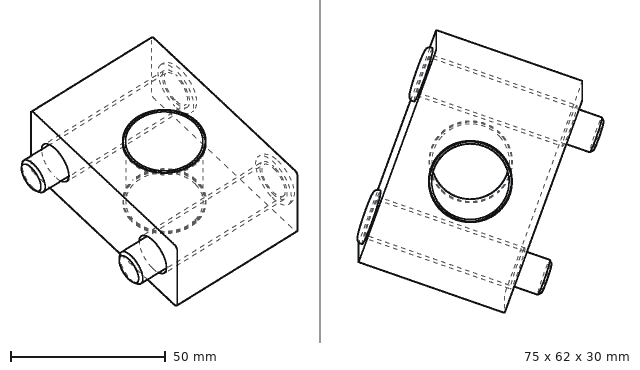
import cadquery as cq

block_width = 75.0
block_depth = 50.0
block_height = 30.0
edge_radius = 1.5

bore_diameter = 25.0
sleeve_diameter = 26.5
groove_width = 0.2
groove_depth = 0.75

bolt_spacing = 50.0
shank_diameter = 12.0
shank_projection = 10.0
tip_chamfer = 1.0
head_diameter = 18.3
head_height = 2.0
head_radius = 1.5
clearance_diameter = 14.0

back_face = block_depth / 2
bolt_positions = (-bolt_spacing / 2, bolt_spacing / 2)


def rod_along_y(x, start_y, length, diameter):
    """Cylinder at height zero that runs from start_y towards +Y."""
    start = cq.Vector(x, start_y, 0)
    return cq.Workplane(cq.Solid.makeCylinder(diameter / 2, length, start, cq.Vector(0, 1, 0)))


def make_block():
    block = cq.Workplane("XY").box(block_width, block_depth, block_height)
    block = block.edges("|Y").fillet(edge_radius)
    block = block.faces(">Z").workplane().hole(bore_diameter)
    groove_radius = sleeve_diameter / 2 + groove_width
    for end_face in (">Z", "<Z"):
        groove = block.faces(end_face).workplane().circle(groove_radius).circle(sleeve_diameter / 2)
        block = groove.cutBlind(-groove_depth)
    return block


def make_bolt(x):
    shank_length = block_depth + shank_projection
    shank = rod_along_y(x, back_face - shank_length, shank_length, shank_diameter)
    shank = shank.faces("<Y").chamfer(tip_chamfer)
    head = rod_along_y(x, back_face, head_height, head_diameter)
    head = head.faces(">Y").edges().fillet(head_radius)
    return shank.union(head)


result = make_block()
for bolt_x in bolt_positions:
    clearance_hole = rod_along_y(bolt_x, -back_face, block_depth, clearance_diameter)
    result = result.cut(clearance_hole).union(make_bolt(bolt_x))